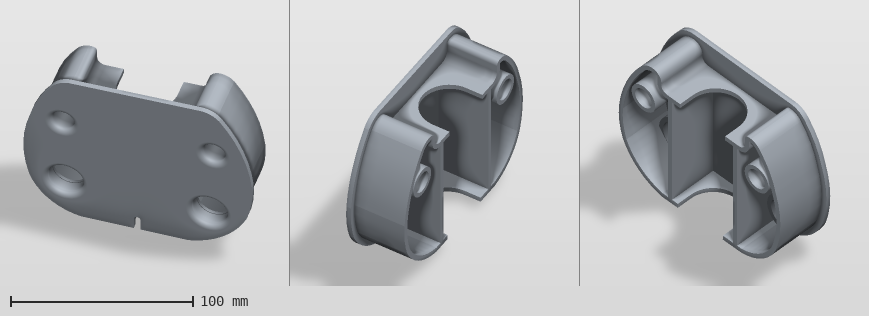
import cadquery as cq
import math

depth = 35.0
front_y = -depth / 2
back_y = depth / 2
flange_thickness = 3.0
flange_back_y = front_y + flange_thickness

flange_overhang = 3.8
wall = 3.0

top_left = (-40.1, 49.1)
top_right = (36.4, 51.0)
bottom_right = (29.1, -50.4)
bottom_left = (-33.0, -51.2)
right_side = [
    ((42.6, 49.5), (47.0, 46.2)),
    ((58.7, 27.1), (65.7, 1.3)),
    ((65.5, -11.9), (62.5, -24.0)),
    ((49.6, -40.9), bottom_right),
]
left_side = [
    ((-51.8, -43.0), (-63.0, -27.1)),
    ((-66.3, -5.3), (-62.5, 17.6)),
    ((-57.1, 32.3), (-49.7, 43.5)),
    ((-45.6, 47.2), top_left),
]

tilt = 1.3

recess_left = -35.0
recess_right = 29.5
recess_floor_z = 33.9
recess_root_radius = 4.6
right_lobe_radius = 6.6
left_lobe_radius = 2.6

passage_x = -2.5
passage_radius = 17.3
passage_depth = 27.6
rib_offset = 23.5
rib_thickness = wall

slot_x = -0.5
slot_width = 4.0
slot_top_z = -41.8

small_holes = [(-44.0, 17.3), (43.1, 19.2)]
small_radius = 6.5
small_mouth_radius = 9.7
small_tube_length = depth
large_holes = [(-42.5, -27.0), (40.7, -25.7)]
large_radius = 10.5
large_mouth_radius = 13.1
large_tube_length = 11.9
lip_radius = 10.0
lip_thickness = 1.9
tube_wall = 2.6

span = 264.5


def plane_at(y):
    """XZ sketch plane at the given y, extruding toward +Y."""
    return cq.Workplane(cq.Plane(origin=(0, y, 0), xDir=(1, 0, 0), normal=(0, -1, 0)))


def outline(y):
    sketch = plane_at(y).moveTo(*top_left).lineTo(*top_right)
    for middle, end in right_side:
        sketch = sketch.threePointArc(middle, end)
    sketch = sketch.lineTo(*bottom_left)
    for middle, end in left_side:
        sketch = sketch.threePointArc(middle, end)
    return sketch.close()


def recessed_block(inset):
    """Housing outline with its top recess, moved inward by the inset."""
    length = back_y - flange_back_y
    block = outline(flange_back_y).offset2D(-flange_overhang - inset).extrude(-length)
    left = recess_left - inset
    right = recess_right + inset
    floor = recess_floor_z - inset
    recess = (
        cq.Workplane("XY")
        .box(right - left, span, span)
        .translate(((left + right) / 2, 0, floor + span / 2))
        .edges("|Y and <Z")
        .fillet(recess_root_radius + inset)
        .rotate((passage_x, 0, floor), (passage_x, 1, floor), -tilt)
    )
    return block.cut(recess)


def round_lobe(block, edge_x, radius):
    """Round the inner top edge of one lobe beside the recess."""
    reach = 1.3
    low_z = recess_floor_z + recess_root_radius + reach
    corner_box = cq.selectors.BoxSelector(
        (edge_x - reach, -span, low_z),
        (edge_x + reach, span, top_right[1]),
    )
    return block.edges("|Y").edges(corner_box).fillet(radius)


def rib(direction):
    center_x = passage_x + direction * (rib_offset + rib_thickness / 2)
    length = back_y - flange_back_y
    center_y = (back_y + flange_back_y) / 2
    return cq.Workplane("XY").box(rib_thickness, length, span).translate((center_x, center_y, 0))


def cylinder(center, radius, start_y, length):
    return plane_at(start_y).center(*center).circle(radius).extrude(-length)


def hole_mouth(center, radius, mouth_radius):
    """Rounded entry that flares from the bore out to the mouth radius."""
    rounding = mouth_radius - radius
    arc_x = mouth_radius - rounding * math.sqrt(0.5)
    arc_y = rounding * (1 - math.sqrt(0.5))
    profile = (
        cq.Workplane("XY")
        .lineTo(mouth_radius, 0)
        .threePointArc((arc_x, arc_y), (radius, rounding))
        .lineTo(0, rounding)
        .close()
    )
    return profile.revolve(360, (0, 0, 0), (0, 1, 0)).translate((center[0], front_y, center[1]))


def passage_cutter():
    arc_center_y = back_y - passage_depth + passage_radius
    straight = span / 2
    cutter = (
        cq.Workplane("XY", origin=(passage_x, arc_center_y, 0))
        .moveTo(-passage_radius, straight)
        .lineTo(-passage_radius, 0)
        .threePointArc((0, -passage_radius), (passage_radius, 0))
        .lineTo(passage_radius, straight)
        .close()
        .extrude(span / 2, both=True)
    )
    pivot = (passage_x, 0, recess_floor_z)
    return cutter.rotate(pivot, (passage_x, 1, recess_floor_z), -tilt)


def slot_cutter():
    radius = slot_width / 2
    arc_z = slot_top_z - radius
    bottom_z = -span / 2
    return (
        plane_at(front_y)
        .moveTo(slot_x - radius, bottom_z)
        .lineTo(slot_x - radius, arc_z)
        .threePointArc((slot_x, slot_top_z), (slot_x + radius, arc_z))
        .lineTo(slot_x + radius, bottom_z)
        .close()
        .extrude(-depth)
    )


flange = outline(front_y).extrude(-flange_thickness)
housing = recessed_block(0)
housing = round_lobe(housing, recess_right, right_lobe_radius)
housing = round_lobe(housing, recess_left, left_lobe_radius)
ribs = rib(-1).union(rib(1)).intersect(housing)
result = flange.union(housing.cut(recessed_block(wall))).union(ribs)
result = result.cut(passage_cutter())

for position in small_holes:
    result = result.union(cylinder(position, small_radius + tube_wall, front_y, small_tube_length))
for position in large_holes:
    result = result.union(cylinder(position, large_mouth_radius, front_y, large_tube_length))
for position in small_holes:
    result = result.cut(cylinder(position, small_radius, front_y, small_tube_length))
    result = result.cut(hole_mouth(position, small_radius, small_mouth_radius))
for position in large_holes:
    result = result.cut(cylinder(position, large_radius, front_y, large_tube_length - lip_thickness))
    result = result.cut(cylinder(position, lip_radius, front_y, large_tube_length))
    result = result.cut(hole_mouth(position, large_radius, large_mouth_radius))

result = result.cut(slot_cutter())